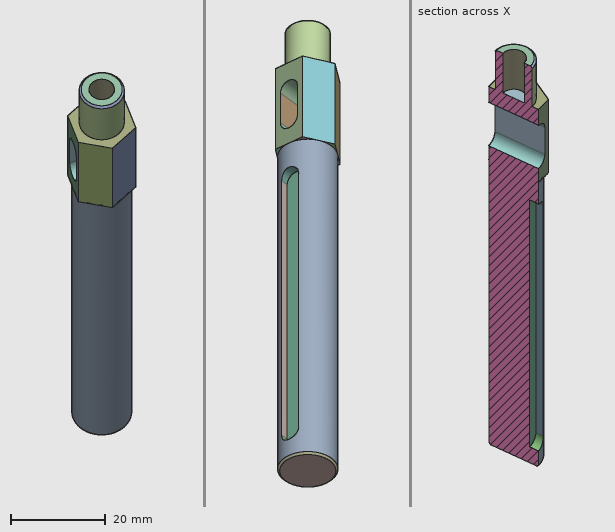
import cadquery as cq
import math

total_length = 113.6
stud_length = 11.4
hex_length = 20.9
shaft_length = total_length - stud_length - hex_length
hex_top = shaft_length + hex_length

across_flats = 12.7
across_corners = across_flats / math.cos(math.radians(30))
shaft_diameter = across_flats
stud_diameter = 9.5
bore_diameter = 5.3
bore_depth = stud_length

shaft_chamfer = 0.5
stud_chamfer = 0.5

slot_width = 4.5
slot_length = 12.3
slot_center_z = 91.5

keyway_width = 4.5
keyway_bottom = 4.7
keyway_top = 75.1
keyway_depth = 2.3


def slot_cutter(length, width, center_z, y_start, depth):
    """Upright round-ended slot, extruded toward -Y from y_start."""
    return (
        cq.Workplane("XZ", origin=(0, y_start, center_z))
        .slot2D(length, width, 90)
        .extrude(depth)
    )


shaft = (
    cq.Workplane("XY")
    .circle(shaft_diameter / 2)
    .extrude(shaft_length)
    .faces("<Z")
    .chamfer(shaft_chamfer)
)

hexagon = (
    cq.Workplane("XY")
    .workplane(offset=shaft_length)
    .polygon(6, across_corners)
    .extrude(hex_length)
)

stud = (
    cq.Workplane("XY")
    .workplane(offset=hex_top)
    .circle(stud_diameter / 2)
    .extrude(stud_length)
    .faces(">Z")
    .chamfer(stud_chamfer)
)

bore = (
    cq.Workplane("XY")
    .workplane(offset=total_length - bore_depth)
    .circle(bore_diameter / 2)
    .extrude(bore_depth)
)

hex_slot = slot_cutter(slot_length, slot_width, slot_center_z, across_flats / 2, across_flats)

keyway = slot_cutter(
    keyway_top - keyway_bottom,
    keyway_width,
    (keyway_top + keyway_bottom) / 2,
    shaft_diameter / 2,
    keyway_depth,
)

result = shaft.union(hexagon).union(stud).cut(bore).cut(hex_slot).cut(keyway)